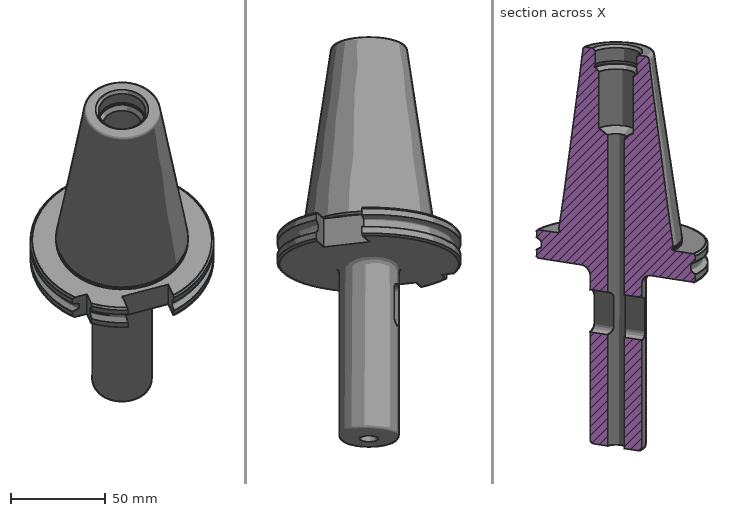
import cadquery as cq
import math

TOTAL_HEIGHT = 218.8

TAPER_SLOPE = 7 / 48
TAPER_TOP_RADIUS = 20.1
TAPER_TOP_FILLET = 2.2

COLLAR_HEIGHT = 0.5
RELIEF_HEIGHT = 1.5
RELIEF_DEPTH = 0.9

FLANGE_RADIUS = 48.8
FLANGE_TOP = 113.8
FLANGE_THICKNESS = 16.0
FLANGE_BOTTOM = FLANGE_TOP - FLANGE_THICKNESS
FLANGE_CHAMFER = 1.0

GROOVE_CENTRE = 105.9
GROOVE_DEPTH = 2.8
GROOVE_FLOOR_WIDTH = 3.5
GROOVE_FLOOR_FILLET = 0.9
GROOVE_WALL_ANGLE = 30.0

KEY_SLOT_WIDTH = 25.8
LEFT_SLOT_FLOOR = 35.2
RIGHT_SLOT_FLOOR = 37.8
NOTCH_CORNER = 30.2

SHANK_RADIUS = 16.0
NECK_FILLET = 5.2
SHANK_END_FILLET = 2.5
CROSS_SLOT_WIDTH = 7.5
CROSS_SLOT_LENGTH = 23.2
CROSS_SLOT_CENTRE = 73.3

MOUTH_RADIUS = 14.0
COUNTERBORE_RADIUS = 12.5
COUNTERBORE_DEPTH = 8.8
UNDERCUT_HEIGHT = 1.8
UNDERCUT_DEPTH = 0.7
THREAD_BORE_RADIUS = 10.3
THREAD_BORE_DEPTH = 43.8
THROUGH_HOLE_RADIUS = 5.0
DRILL_POINT_ANGLE = 118.0


def revolve_about_z(profile):
    return profile.close().revolve(360, (0, 0, 0), (0, 1, 0))


def make_taper():
    collar_top = FLANGE_TOP + COLLAR_HEIGHT
    taper_base = collar_top + RELIEF_HEIGHT
    base_radius = TAPER_TOP_RADIUS + TAPER_SLOPE * (TOTAL_HEIGHT - taper_base)
    relief_radius = base_radius - RELIEF_DEPTH
    profile = (
        cq.Workplane("XZ")
        .moveTo(0, FLANGE_TOP)
        .lineTo(base_radius, FLANGE_TOP)
        .lineTo(base_radius, collar_top)
        .lineTo(relief_radius, collar_top)
        .lineTo(base_radius, taper_base)
        .lineTo(TAPER_TOP_RADIUS, TOTAL_HEIGHT)
        .lineTo(0, TOTAL_HEIGHT)
    )
    return revolve_about_z(profile).faces(">Z").edges().fillet(TAPER_TOP_FILLET)


def make_gripper_groove():
    floor_radius = FLANGE_RADIUS - GROOVE_DEPTH
    half_floor = GROOVE_FLOOR_WIDTH / 2
    half_mouth = half_floor + GROOVE_DEPTH * math.tan(math.radians(GROOVE_WALL_ANGLE))
    groove = revolve_about_z(
        cq.Workplane("XZ")
        .moveTo(floor_radius, GROOVE_CENTRE - half_floor)
        .lineTo(FLANGE_RADIUS, GROOVE_CENTRE - half_mouth)
        .lineTo(FLANGE_RADIUS, GROOVE_CENTRE + half_mouth)
        .lineTo(floor_radius, GROOVE_CENTRE + half_floor)
    )
    floor_corners = cq.selectors.RadiusNthSelector(0)
    return groove.edges("%CIRCLE").edges(floor_corners).fillet(GROOVE_FLOOR_FILLET)


def flange_height_box(x_start, x_end, y_start, y_end):
    return (
        cq.Workplane("XY")
        .box(x_end - x_start, y_end - y_start, FLANGE_THICKNESS, centered=False)
        .translate((x_start, y_start, FLANGE_BOTTOM))
    )


def make_flange():
    disc = (
        cq.Workplane("XY")
        .workplane(offset=FLANGE_BOTTOM)
        .circle(FLANGE_RADIUS)
        .extrude(FLANGE_THICKNESS)
        .faces("<Z or >Z")
        .edges()
        .chamfer(FLANGE_CHAMFER)
    )
    flange = disc.cut(make_gripper_groove())
    half_slot = KEY_SLOT_WIDTH / 2
    left_slot = flange_height_box(-FLANGE_RADIUS, -LEFT_SLOT_FLOOR, -half_slot, half_slot)
    right_slot = flange_height_box(RIGHT_SLOT_FLOOR, FLANGE_RADIUS, -half_slot, half_slot)
    notch = flange_height_box(NOTCH_CORNER, FLANGE_RADIUS, -FLANGE_RADIUS, -NOTCH_CORNER)
    return flange.cut(left_slot).cut(right_slot).cut(notch)


def make_shank():
    neck_centre = (SHANK_RADIUS + NECK_FILLET, FLANGE_BOTTOM - NECK_FILLET)
    neck_reach = NECK_FILLET * math.sin(math.radians(45))
    profile = (
        cq.Workplane("XZ")
        .lineTo(SHANK_RADIUS, 0)
        .lineTo(SHANK_RADIUS, neck_centre[1])
        .threePointArc(
            (neck_centre[0] - neck_reach, neck_centre[1] + neck_reach),
            (neck_centre[0], FLANGE_BOTTOM),
        )
        .lineTo(0, FLANGE_BOTTOM)
    )
    shank = revolve_about_z(profile).faces("<Z").edges().fillet(SHANK_END_FILLET)
    cross_slot = (
        cq.Workplane("XZ")
        .center(0, CROSS_SLOT_CENTRE)
        .slot2D(CROSS_SLOT_LENGTH, CROSS_SLOT_WIDTH, 90)
        .extrude(SHANK_RADIUS, both=True)
    )
    return shank.cut(cross_slot)


def make_bore():
    mouth_bottom = TOTAL_HEIGHT - (MOUTH_RADIUS - COUNTERBORE_RADIUS)
    undercut_top = TOTAL_HEIGHT - COUNTERBORE_DEPTH
    undercut_radius = COUNTERBORE_RADIUS + UNDERCUT_DEPTH
    ledge_top = undercut_top - UNDERCUT_HEIGHT
    ledge_bottom = ledge_top - (COUNTERBORE_RADIUS - THREAD_BORE_RADIUS)
    thread_bottom = TOTAL_HEIGHT - THREAD_BORE_DEPTH
    cone_slope = math.tan(math.radians(DRILL_POINT_ANGLE / 2))
    cone_bottom = thread_bottom - (THREAD_BORE_RADIUS - THROUGH_HOLE_RADIUS) / cone_slope
    profile = (
        cq.Workplane("XZ")
        .lineTo(THROUGH_HOLE_RADIUS, 0)
        .lineTo(THROUGH_HOLE_RADIUS, cone_bottom)
        .lineTo(THREAD_BORE_RADIUS, thread_bottom)
        .lineTo(THREAD_BORE_RADIUS, ledge_bottom)
        .lineTo(COUNTERBORE_RADIUS, ledge_top)
        .lineTo(undercut_radius, ledge_top)
        .lineTo(COUNTERBORE_RADIUS, undercut_top)
        .lineTo(COUNTERBORE_RADIUS, mouth_bottom)
        .lineTo(MOUTH_RADIUS, TOTAL_HEIGHT)
        .lineTo(0, TOTAL_HEIGHT)
    )
    return revolve_about_z(profile)


result = make_flange().union(make_taper()).union(make_shank()).cut(make_bore())